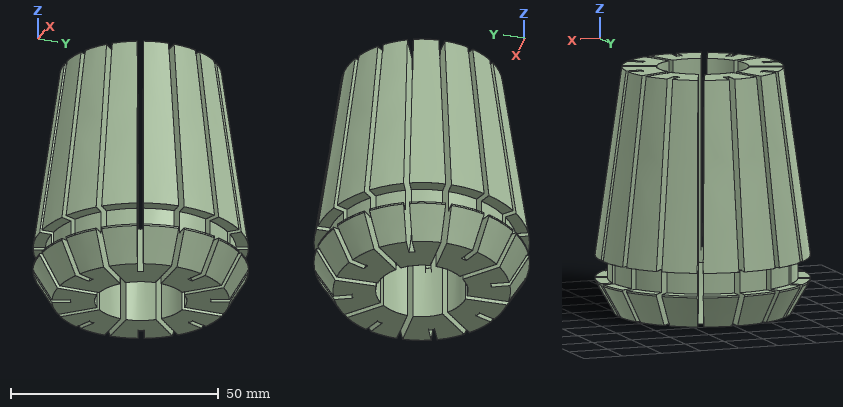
import cadquery as cq
import math

height = 60.0
outer_radius = 26.0
bore_radius = 11.1
taper_angle = 8.0
nose_angle = 30.0
taper_start = 14.0
groove_radius = 23.0
groove_bottom = 8.4
nose_top = 8.0

slot_width = 1.45
slots_per_end = 8
bottom_slot_rest = 12.0
top_slot_rest = taper_start
saw_radius = 35.0
saw_inner_radius = 10.55
cut_margin = 3.0

top_radius = outer_radius - (height - taper_start) * math.tan(math.radians(taper_angle))
bottom_radius = outer_radius - nose_top * math.tan(math.radians(nose_angle))


def make_body():
    """Revolve the half section of the slotless collet."""
    section = [
        (bore_radius, 0),
        (bottom_radius, 0),
        (outer_radius, nose_top),
        (outer_radius, groove_bottom),
        (groove_radius, groove_bottom),
        (groove_radius, taper_start),
        (outer_radius, taper_start),
        (top_radius, height),
        (bore_radius, height),
    ]
    return cq.Workplane("XZ").polyline(section).close().revolve(360, (0, 0, 0), (0, 1, 0))


def make_slot_cutter(rest_length):
    """One slot along +X, open at the bottom, its floor running out along the blade rim near the top."""
    center_r = saw_inner_radius + saw_radius
    bore_exit_z = height - rest_length
    center_z = bore_exit_z - math.sqrt(saw_radius**2 - (center_r - bore_radius)**2)

    def rim_radius(z):
        return center_r - math.sqrt(saw_radius**2 - (z - center_z)**2)

    above_top = height + cut_margin
    mid_z = (center_z + above_top) / 2
    outside = outer_radius + cut_margin
    return (
        cq.Workplane("XZ")
        .moveTo(saw_inner_radius, -cut_margin)
        .lineTo(saw_inner_radius, center_z)
        .threePointArc((rim_radius(mid_z), mid_z), (rim_radius(above_top), above_top))
        .lineTo(outside, above_top)
        .lineTo(outside, -cut_margin)
        .close()
        .extrude(slot_width / 2, both=True)
    )


def cut_slots(body, cutter, first_angle):
    """Cut one ring of equally spaced slots."""
    for index in range(slots_per_end):
        angle = first_angle + index * 360 / slots_per_end
        body = body.cut(cutter.rotate((0, 0, 0), (0, 0, 1), angle))
    return body


bottom_slot = make_slot_cutter(bottom_slot_rest)
top_slot = make_slot_cutter(top_slot_rest).mirror("XY", (0, 0, height / 2))

result = cut_slots(make_body(), bottom_slot, 0)
result = cut_slots(result, top_slot, 180 / slots_per_end)